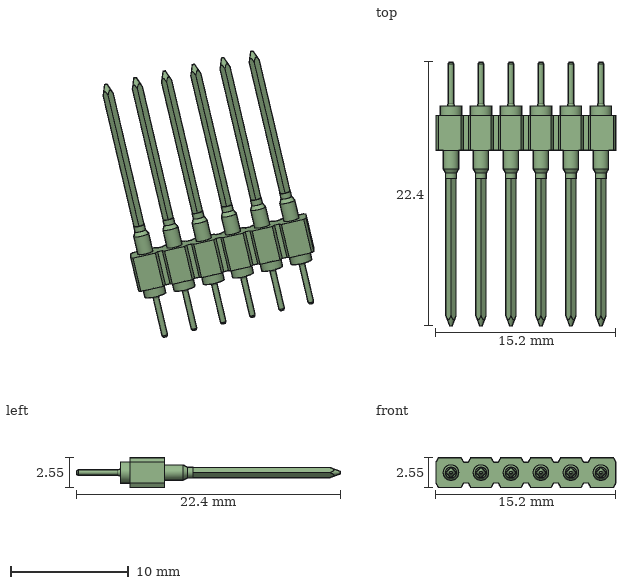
import cadquery as cq

pin_count = 6
housing_length = 15.25
housing_height = 2.55
pitch = housing_length / pin_count

tail_end = 11.18
tail_taper_start = 11.02
tail_flare_start = 7.7
collar_end = 7.47
housing_back = 6.66
housing_front = 3.71
sleeve_end = 2.15
neck_start = 1.79
square_start = 1.32
point_start = -10.29
point_end = -11.18

bevel_width = 0.2
bevel_depth = 0.38
groove_floor_width = 0.4

tail_diameter = 0.5
tail_tip_diameter = 0.31
tail_base_diameter = 0.63
collar_diameter = 1.83
sleeve_diameter = 1.32
neck_diameter = 0.95
square_diagonal = 0.9
point_diameter = 0.22


def along_y(y_start):
    """Workplane facing -Y at the given station, with local X and Z matching the part."""
    return cq.Workplane("XZ", origin=(0, y_start, 0))


def make_housing():
    """Bevelled bar with a break groove above and below between neighbouring pins."""
    half_length = housing_length / 2
    half_height = housing_height / 2
    floor_height = half_height - bevel_depth
    upper_edge = [
        (-half_length, floor_height),
        (-half_length + bevel_width, half_height),
    ]
    for index in range(1, pin_count):
        groove_x = -half_length + index * pitch
        half_floor = groove_floor_width / 2
        half_mouth = half_floor + bevel_width
        upper_edge += [
            (groove_x - half_mouth, half_height),
            (groove_x - half_floor, floor_height),
            (groove_x + half_floor, floor_height),
            (groove_x + half_mouth, half_height),
        ]
    upper_edge += [
        (half_length - bevel_width, half_height),
        (half_length, floor_height),
    ]
    lower_edge = [(x, -z) for x, z in reversed(upper_edge)]
    outline = along_y(housing_back).polyline(upper_edge + lower_edge).close()
    return outline.extrude(housing_back - housing_front)


def make_turned_body():
    """Round tail with a flared foot, collar, sleeve and neck as one turned profile about the Y axis."""
    profile = [
        (0, tail_end),
        (tail_tip_diameter / 2, tail_end),
        (tail_diameter / 2, tail_taper_start),
        (tail_diameter / 2, tail_flare_start),
        (tail_base_diameter / 2, collar_end),
        (collar_diameter / 2, collar_end),
        (collar_diameter / 2, housing_back),
        (sleeve_diameter / 2, housing_back),
        (sleeve_diameter / 2, sleeve_end),
        (neck_diameter / 2, neck_start),
        (neck_diameter / 2, square_start),
        (0, square_start),
    ]
    return cq.Workplane("XY").polyline(profile).close().revolve(360, (0, 0, 0), (0, 1, 0))


def make_square_pin():
    """Square bar standing on its edge, turned to a blunt conical point."""
    bar = along_y(square_start).polygon(4, square_diagonal).extrude(square_start - point_end)
    envelope_profile = [
        (0, square_start),
        (square_diagonal / 2, square_start),
        (square_diagonal / 2, point_start),
        (point_diameter / 2, point_end),
        (0, point_end),
    ]
    envelope = cq.Workplane("XY").polyline(envelope_profile).close().revolve(360, (0, 0, 0), (0, 1, 0))
    return bar.intersect(envelope)


pin = make_turned_body().union(make_square_pin())

result = make_housing()
for index in range(pin_count):
    pin_x = (index - (pin_count - 1) / 2) * pitch
    result = result.union(pin.translate((pin_x, 0, 0)))